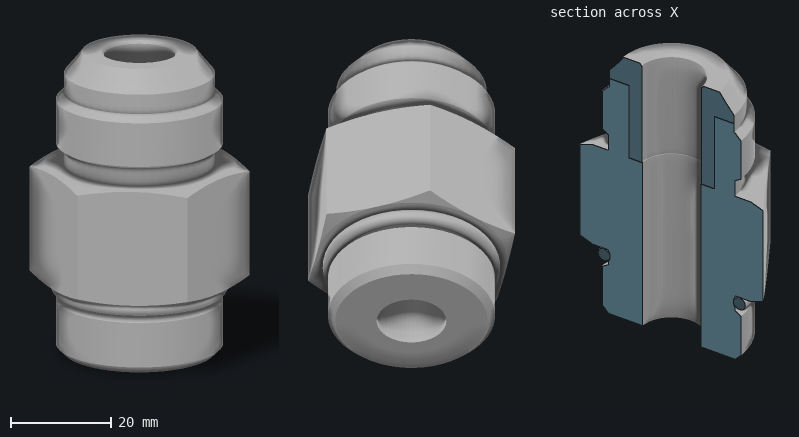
import cadquery as cq
import math

TOTAL_HEIGHT = 62.2
HEX_BOTTOM = 15.05
HEX_TOP = 38.85

HEX_ACROSS_FLATS = 38.1
HEX_CORNER_RADIUS = HEX_ACROSS_FLATS / math.sqrt(3)
HEX_CHAMFER_ANGLE = 20.0
CORNER_CLEARANCE = 0.6

THREAD_RADIUS = 33.35 / 2
NECK_RADIUS = 30.4 / 2
END_CHAMFER = THREAD_RADIUS - NECK_RADIUS
RUNOUT_HEIGHT = 0.9
LOWER_THREAD_TOP = 10.75
UPPER_THREAD_BOTTOM = 43.3
UPPER_THREAD_TOP = 52.4
BODY_BORE_RADIUS = 13.9 / 2

SEAT_RADIUS = 30.05 / 2
SEAT_TOP = 56.0

CONE_TOP_RADIUS = 23.0 / 2
CONE_BOTTOM = 57.9
CONE_BORE_RADIUS = 14.25 / 2
CONE_BORE_CHAMFER = 0.55
STEM_RADIUS = 20.3 / 2
STEM_BOTTOM = HEX_TOP

RING_SECTION_RADIUS = 2.85 / 2
RING_OUTER_RADIUS = 35.4 / 2
RING_CENTER_RADIUS = RING_OUTER_RADIUS - RING_SECTION_RADIUS
RING_CENTER_Z = HEX_BOTTOM - RING_SECTION_RADIUS


def revolved(profile):
    """Turn a closed (radius, z) profile once around the Z axis."""
    return profile.close().revolve(360, (0, 0, 0), (0, 1, 0))


def make_turned_core():
    """Both threaded ends, the necks, the O-ring groove and the seat, with the bore and stem recess."""
    groove_half_height = math.sqrt(
        RING_SECTION_RADIUS**2 - (RING_CENTER_RADIUS - NECK_RADIUS) ** 2
    )
    profile = (
        cq.Workplane("XZ")
        .moveTo(BODY_BORE_RADIUS, 0)
        .lineTo(NECK_RADIUS, 0)
        .lineTo(THREAD_RADIUS, END_CHAMFER)
        .lineTo(THREAD_RADIUS, LOWER_THREAD_TOP)
        .lineTo(NECK_RADIUS, LOWER_THREAD_TOP + RUNOUT_HEIGHT)
        .lineTo(NECK_RADIUS, RING_CENTER_Z - groove_half_height)
        .threePointArc(
            (RING_CENTER_RADIUS - RING_SECTION_RADIUS, RING_CENTER_Z),
            (NECK_RADIUS, RING_CENTER_Z + groove_half_height),
        )
        .lineTo(NECK_RADIUS, UPPER_THREAD_BOTTOM - RUNOUT_HEIGHT)
        .lineTo(THREAD_RADIUS, UPPER_THREAD_BOTTOM)
        .lineTo(THREAD_RADIUS, UPPER_THREAD_TOP)
        .lineTo(NECK_RADIUS, UPPER_THREAD_TOP + END_CHAMFER)
        .lineTo(SEAT_RADIUS, UPPER_THREAD_TOP + END_CHAMFER)
        .lineTo(SEAT_RADIUS, SEAT_TOP)
        .lineTo(STEM_RADIUS, SEAT_TOP)
        .lineTo(STEM_RADIUS, STEM_BOTTOM)
        .lineTo(BODY_BORE_RADIUS, STEM_BOTTOM)
    )
    return revolved(profile)


def make_hexagon():
    """Hexagon with corners on Y, its corners turned off conically at both ends."""
    prism = (
        cq.Workplane("XY", origin=(0, 0, HEX_BOTTOM))
        .polygon(6, 2 * HEX_CORNER_RADIUS)
        .extrude(HEX_TOP - HEX_BOTTOM)
        .rotate((0, 0, 0), (0, 0, 1), 90)
    )
    flat_radius = HEX_ACROSS_FLATS / 2
    rim_radius = HEX_CORNER_RADIUS + CORNER_CLEARANCE
    rim_drop = (rim_radius - flat_radius) * math.tan(math.radians(HEX_CHAMFER_ANGLE))
    envelope = revolved(
        cq.Workplane("XZ")
        .moveTo(0, HEX_BOTTOM)
        .lineTo(flat_radius, HEX_BOTTOM)
        .lineTo(rim_radius, HEX_BOTTOM + rim_drop)
        .lineTo(rim_radius, HEX_TOP - rim_drop)
        .lineTo(flat_radius, HEX_TOP)
        .lineTo(0, HEX_TOP)
    )
    bore = (
        cq.Workplane("XY", origin=(0, 0, HEX_BOTTOM))
        .circle(BODY_BORE_RADIUS)
        .extrude(HEX_TOP - HEX_BOTTOM)
    )
    return prism.intersect(envelope).cut(bore)


def make_body():
    return make_turned_core().union(make_hexagon()).solids()


def make_sealing_cone():
    """Conical head resting on the seat, a stem below it and a bore chamfered at the top."""
    profile = (
        cq.Workplane("XZ")
        .moveTo(CONE_BORE_RADIUS, STEM_BOTTOM)
        .lineTo(STEM_RADIUS, STEM_BOTTOM)
        .lineTo(STEM_RADIUS, SEAT_TOP)
        .lineTo(SEAT_RADIUS, SEAT_TOP)
        .lineTo(SEAT_RADIUS, CONE_BOTTOM)
        .lineTo(CONE_TOP_RADIUS, TOTAL_HEIGHT)
        .lineTo(CONE_BORE_RADIUS + CONE_BORE_CHAMFER, TOTAL_HEIGHT)
        .lineTo(CONE_BORE_RADIUS, TOTAL_HEIGHT - CONE_BORE_CHAMFER)
    )
    return revolved(profile)


def make_o_ring():
    return (
        cq.Workplane("XZ")
        .center(RING_CENTER_RADIUS, RING_CENTER_Z)
        .circle(RING_SECTION_RADIUS)
        .revolve(360, (-RING_CENTER_RADIUS, 0, 0), (-RING_CENTER_RADIUS, 1, 0))
    )


body = make_body()
sealing_cone = make_sealing_cone()
o_ring = make_o_ring()

result = cq.Compound.makeCompound([body.val(), sealing_cone.val(), o_ring.val()])